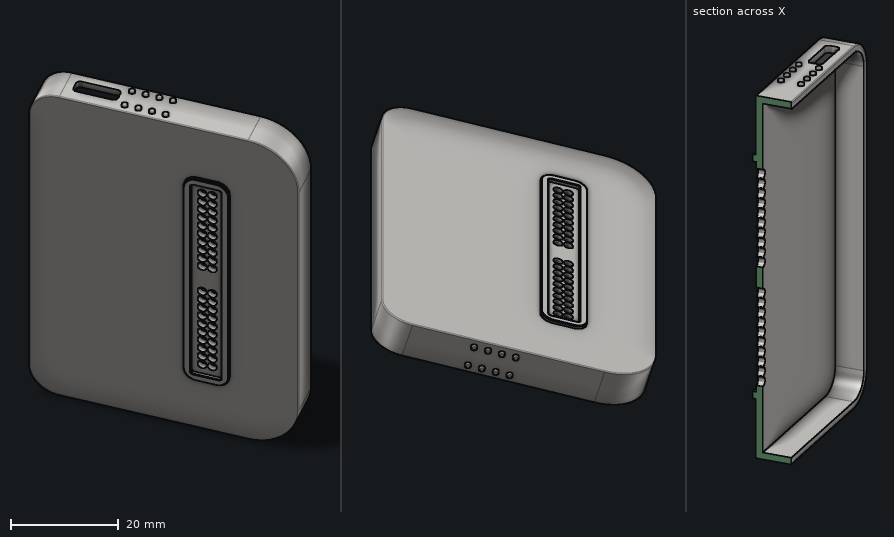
import cadquery as cq

width = 53.15
total_depth = 8.0
total_length = 74.65

pin_height = 0.45
rim_height = 0.7
body_length = total_length - 2 * pin_height
body_depth = total_depth - rim_height
left_corner_radius = 6.0
right_corner_radius = 10.0
wall = 1.5
front_thickness = 1.5
edge_fillet = 0.2

window_x = 8.6
rim_width = 9.0
rim_length = 49.7
rim_corner_radius = 2.55
rim_chamfer = 0.2
recess_width = 6.05
recess_length = 46.6
recess_corner_radius = 0.6
recess_chamfer = 0.15
recess_depth = 0.75

hole_diameter = 1.8
hole_columns = 2
hole_rows = 10
hole_group_span = 18.0
hole_pitch = hole_group_span / (hole_rows - 1)
group_offset = 12.1

slot_width = 8.7
slot_depth = 2.9
slot_corner_radius = 0.8
slot_x = -14.5
slot_from_back = 3.35

pin_diameter = 1.2
pin_fillet = 0.2
pin_pitch = 2.7
pins_per_row = 4
pin_row_x = -4.2
pin_rows_from_back = (1.6, 5.7)


def rounded_block(length_x, length_z, left_radius, right_radius, y_start, y_end):
    """Block between two Y positions with its left and right corners rounded."""
    block = cq.Workplane("XY").box(length_x, y_end - y_start, length_z)
    block = block.edges("|Y and <X").fillet(left_radius)
    block = block.edges("|Y and >X").fillet(right_radius)
    return block.translate((0, (y_start + y_end) / 2, 0))


def make_tray():
    outer = rounded_block(width, body_length, left_corner_radius, right_corner_radius, 0, body_depth)
    outer = outer.faces("<Y or >Y").edges().fillet(edge_fillet)
    cavity = rounded_block(
        width - 2 * wall,
        body_length - 2 * wall,
        left_corner_radius - wall,
        right_corner_radius - wall,
        front_thickness,
        body_depth,
    )
    return outer.cut(cavity)


def make_rim():
    rim = rounded_block(rim_width, rim_length, rim_corner_radius, rim_corner_radius, -rim_height, 0)
    rim = rim.faces("<Y").edges().chamfer(rim_chamfer)
    return rim.translate((window_x, 0, 0))


def make_recess():
    """Window cutter that widens at its mouth, so it also chamfers the inner edge of the rim."""
    floor_y = recess_depth - rim_height
    radius = recess_corner_radius
    recess = rounded_block(recess_width, recess_length, radius, radius, -rim_height, floor_y)
    mouth = (
        recess.faces("<Y")
        .wires()
        .toPending()
        .offset2D(recess_chamfer)
        .extrude(-recess_chamfer, combine=False, taper=45)
    )
    return recess.union(mouth).translate((window_x, 0, 0))


def make_contact_holes(group_z):
    return (
        cq.Workplane("XZ", origin=(window_x, 0, group_z))
        .rarray(hole_pitch, hole_pitch, hole_columns, hole_rows)
        .circle(hole_diameter / 2)
        .extrude(-front_thickness)
    )


def make_slot():
    return (
        cq.Workplane("XY", origin=(slot_x, body_depth - slot_from_back, body_length / 2 - wall))
        .rect(slot_width, slot_depth)
        .extrude(wall)
        .edges("|Z")
        .fillet(slot_corner_radius)
    )


def make_top_pins():
    first_x = pin_row_x - (pins_per_row - 1) / 2 * pin_pitch
    points = [
        (first_x + i * pin_pitch, body_depth - from_back)
        for from_back in pin_rows_from_back
        for i in range(pins_per_row)
    ]
    pins = (
        cq.Workplane("XY", origin=(0, 0, body_length / 2))
        .pushPoints(points)
        .circle(pin_diameter / 2)
        .extrude(pin_height)
    )
    return pins.faces(">Z").edges().fillet(pin_fillet)


result = make_tray().union(make_rim()).cut(make_recess())
for group_z in (-group_offset, group_offset):
    result = result.cut(make_contact_holes(group_z))
result = result.cut(make_slot())

top_pins = make_top_pins()
result = result.union(top_pins).union(top_pins.mirror("XY"))